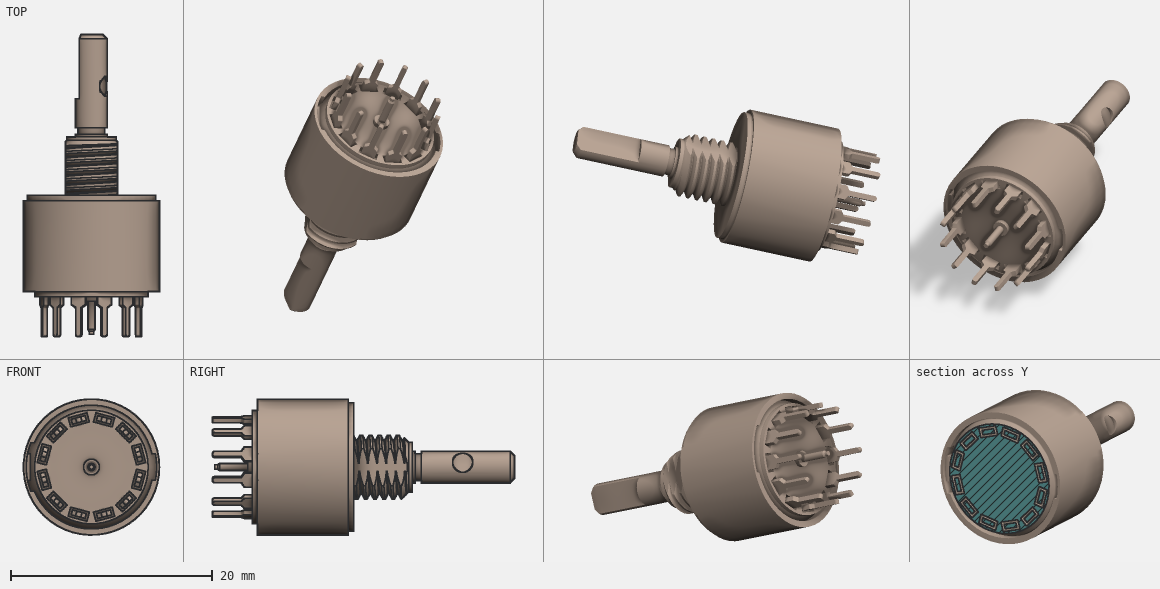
import cadquery as cq
import math


shaft_radius = 3.17 / 2
shaft_tip_y = 15.93
shaft_tip_chamfer = 0.45
shaft_shoulder_y = 6.68
shaft_flat_length = 6.35
shaft_flat_distance = 0.8
shaft_flat_turn = 20.0
dimple_radius = 1.0
dimple_from_tip = 5.15
neck_radius = 2.67 / 2
collar_radius = shaft_radius
collar_end_y = 6.06

bushing_end_y = 5.79
bushing_lead_y = 5.42
bushing_lead_radius = 4.95 / 2
thread_radius = 6.35 / 2
thread_root_radius = 2.62
thread_pitch = 25.4 / 28
thread_groove_width = 0.68
thread_root_width = 0.08
thread_phase = 160.0
bushing_flat_width = 5.18

flange_radius = 12.76 / 2
flange_thickness = 0.54
body_radius = 13.49 / 2
body_rear_y = -9.56
recess_radius = 6.14
recess_depth = 1.5
notch_radius = 6.47
plain_notch_width = 2.6
key_notch_width = 4.8
key_width = 2.6
key_inner_x = 6.08
key_face_depth = 0.45

plug_radius = 11.25 / 2
plug_rear_y = -10.07
boss_radius = 1.57 / 2
boss_rear_y = -10.52
center_pin_radius = 0.71 / 2
center_pin_tip_radius = 0.23
center_pin_taper_y = -13.31
center_pin_tip_y = -13.49
center_pin_rear_y = -13.80
terminal_count = 12
terminal_circle_radius = 4.84
terminal_rear_y = shaft_tip_y - 29.95
terminal_base_width = 1.42
terminal_stem_width = 0.53
terminal_thickness = 0.5
terminal_shoulder_start_y = -10.86
terminal_shoulder_end_y = -11.16
terminal_corner_radius = 0.12
terminal_tip_radius = 0.25
pocket_width = 1.92
pocket_height = 0.94
pocket_depth = 0.6


def revolve_profile(points):
    """Revolve a closed (radius, y) outline about the Y axis."""
    outline = cq.Workplane("XY").polyline(points).close()
    return outline.revolve(360, (0, 0, 0), (0, 1, 0))


def disc(radius, y_start, y_end):
    """Solid cylinder about the Y axis between two Y positions."""
    return revolve_profile([(0, y_start), (radius, y_start), (radius, y_end), (0, y_end)])


def turn_about_y(shape, degrees):
    return shape.rotate((0, 0, 0), (0, 1, 0), degrees)


def make_shaft():
    chamfer_radius = shaft_radius - shaft_tip_chamfer
    shaft = revolve_profile([
        (0, 0),
        (collar_radius, 0),
        (collar_radius, collar_end_y),
        (neck_radius, collar_end_y),
        (neck_radius, shaft_shoulder_y),
        (shaft_radius, shaft_shoulder_y),
        (shaft_radius, shaft_tip_y - shaft_tip_chamfer),
        (chamfer_radius, shaft_tip_y),
        (0, shaft_tip_y),
    ])
    flat_cut = cq.Workplane("XY").box(
        shaft_radius, shaft_flat_length, 2 * shaft_radius, centered=(False, False, True)
    ).translate((-shaft_flat_distance - shaft_radius, shaft_tip_y - shaft_flat_length, 0))
    dimple_floor = math.sqrt(shaft_radius**2 - dimple_radius**2)
    dimple = (
        cq.Workplane("YZ", origin=(dimple_floor, 0, 0))
        .center(shaft_tip_y - dimple_from_tip, 0)
        .circle(dimple_radius)
        .extrude(shaft_radius)
    )
    return shaft.cut(turn_about_y(flat_cut.union(dimple), -shaft_flat_turn))


def make_thread_groove():
    """Right-handed V groove with a narrow flat root, swept along a helix about Y."""
    overrun = 0.15
    start_y = -thread_pitch
    length = bushing_end_y + thread_pitch - start_y
    slope = (thread_groove_width - thread_root_width) / 2 / (thread_radius - thread_root_radius)
    half_root = thread_root_width / 2
    half_mouth = thread_groove_width / 2 + slope * overrun
    mouth_radius = thread_radius + overrun
    path = cq.Wire.makeHelix(thread_pitch, length, thread_root_radius)
    groove = (
        cq.Workplane("XZ")
        .polyline([
            (thread_root_radius, -half_root),
            (mouth_radius, -half_mouth),
            (mouth_radius, half_mouth),
            (thread_root_radius, half_root),
        ])
        .close()
        .sweep(cq.Workplane(path), isFrenet=True)
    )
    groove = groove.rotate((0, 0, 0), (0, 0, 1), thread_phase)
    return groove.rotate((0, 0, 0), (1, 0, 0), -90).translate((0, start_y, 0))


def make_bushing():
    chamfer = thread_radius - bushing_lead_radius
    bushing = revolve_profile([
        (0, 0),
        (thread_radius, 0),
        (thread_radius, bushing_lead_y - chamfer),
        (bushing_lead_radius, bushing_lead_y),
        (bushing_lead_radius, bushing_end_y),
        (0, bushing_end_y),
    ])
    bar_height = 2.2 * thread_radius
    bar = cq.Workplane("XY").box(bushing_flat_width, 4 * bushing_end_y, bar_height)
    return bar.cut(make_thread_groove()).intersect(bushing)


def notch(radius, width, side):
    """Part of the rear recess widened to a larger radius, on the +X or -X side."""
    reach = cq.Workplane("XY").box(
        2 * radius, 4 * abs(body_rear_y), width
    ).translate((side * radius, 0, 0))
    return disc(radius, body_rear_y, body_rear_y + recess_depth).intersect(reach)


def make_housing():
    body = disc(body_radius, body_rear_y, -flange_thickness)
    body = body.union(disc(flange_radius, -flange_thickness, 0))
    recess = disc(recess_radius, body_rear_y, body_rear_y + recess_depth)
    recess = recess.union(notch(notch_radius, plain_notch_width, 1))
    recess = recess.union(notch(notch_radius, key_notch_width, -1))
    body = body.cut(recess)
    key_length = notch_radius - key_inner_x
    key = cq.Workplane("XY").box(
        key_length, recess_depth - key_face_depth, key_width, centered=(False, False, True)
    ).translate((-notch_radius, body_rear_y + key_face_depth, 0))
    return body.union(key)


def make_plug():
    recess_floor_y = body_rear_y + recess_depth
    plug = revolve_profile([
        (0, recess_floor_y),
        (notch_radius, recess_floor_y),
        (plug_radius, body_rear_y),
        (plug_radius, plug_rear_y),
        (0, plug_rear_y),
    ])
    pocket = (
        cq.Workplane("XY")
        .box(pocket_width, pocket_depth, pocket_height, centered=(True, False, True))
        .translate((0, plug_rear_y, terminal_circle_radius))
    )
    return plug.cut(ring_of_terminals(pocket))


def make_terminal():
    half_base = terminal_base_width / 2
    half_stem = terminal_stem_width / 2
    root_y = plug_rear_y + pocket_depth
    blade = (
        cq.Workplane("XY")
        .polyline([
            (-half_base, root_y),
            (half_base, root_y),
            (half_base, terminal_shoulder_start_y),
            (half_stem, terminal_shoulder_end_y),
            (half_stem, terminal_rear_y),
            (-half_stem, terminal_rear_y),
            (-half_stem, terminal_shoulder_end_y),
            (-half_base, terminal_shoulder_start_y),
        ])
        .close()
        .extrude(terminal_thickness / 2, both=True)
    )
    margin = terminal_thickness
    shoulder = cq.selectors.BoxSelector(
        (-terminal_base_width, terminal_shoulder_end_y - margin, -margin),
        (terminal_base_width, terminal_shoulder_start_y + margin, margin),
    )
    blade = blade.edges("|Z").edges(shoulder).fillet(terminal_corner_radius)
    blade = blade.faces("<Y").edges("|Z").fillet(terminal_tip_radius)
    return blade.translate((0, 0, terminal_circle_radius))


def ring_of_terminals(shape):
    """Copies of a shape at every terminal position."""
    step = 360 / terminal_count
    ring = cq.Workplane("XY")
    for index in range(terminal_count):
        ring = ring.add(turn_about_y(shape, (index + 0.5) * step))
    return ring.combine()


def make_center_pin():
    boss = disc(boss_radius, boss_rear_y, plug_rear_y)
    pin = revolve_profile([
        (0, plug_rear_y),
        (center_pin_radius, plug_rear_y),
        (center_pin_radius, center_pin_taper_y),
        (center_pin_tip_radius, center_pin_tip_y),
        (center_pin_tip_radius, center_pin_rear_y),
        (0, center_pin_rear_y),
    ])
    return boss.union(pin)


result = (
    make_housing()
    .union(make_plug())
    .union(make_bushing())
    .union(make_shaft())
    .union(make_center_pin())
    .union(ring_of_terminals(make_terminal()))
)